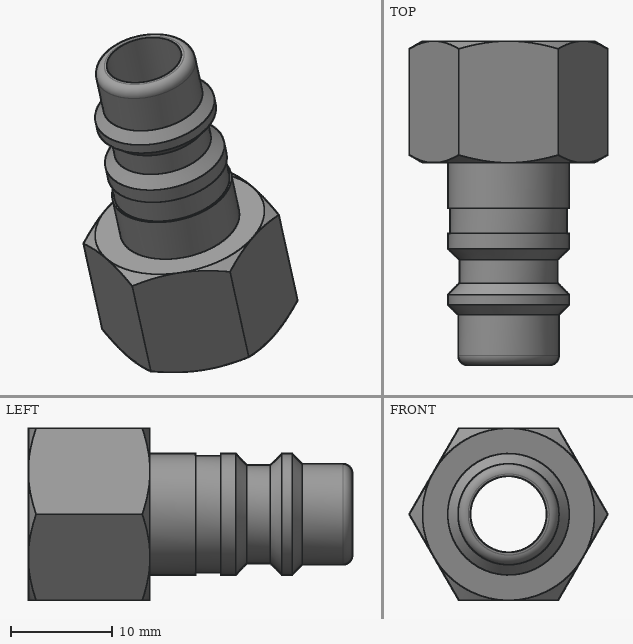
import cadquery as cq
import math

total_length = 32.0
head_length = 12.0
head_sides = 6
across_flats = 17.0
chamfer_angle = 30.0
head_front = total_length - head_length
flat_radius = across_flats / 2
corner_radius = flat_radius / math.cos(math.pi / head_sides)
chamfer_length = (corner_radius - flat_radius) * math.tan(math.radians(chamfer_angle))

bore_radius = 3.75
tip_radius = 5.0
collar_diameter = 12.0
collar_radius = collar_diameter / 2
relief_radius = 5.8
groove_radius = 4.85
tip_rounding = 1.0

bead_start = 5.0
bead_crest_start = 6.0
bead_crest_end = 6.98
groove_start = 8.13
groove_end = 10.43
collar_start = 11.52
relief_start = 13.02
relief_end = 15.5


def make_stem():
    """Revolve the stepped stem, with its rounded tip, about the Y axis."""
    round_center_radius = tip_radius - tip_rounding
    diagonal = tip_rounding * math.sqrt(0.5)
    return (
        cq.Workplane("XY")
        .lineTo(round_center_radius, 0)
        .threePointArc(
            (round_center_radius + diagonal, tip_rounding - diagonal),
            (tip_radius, tip_rounding),
        )
        .lineTo(tip_radius, bead_start)
        .lineTo(collar_radius, bead_crest_start)
        .lineTo(collar_radius, bead_crest_end)
        .lineTo(groove_radius, groove_start)
        .lineTo(groove_radius, groove_end)
        .lineTo(collar_radius, collar_start)
        .lineTo(collar_radius, relief_start)
        .lineTo(relief_radius, relief_start)
        .lineTo(relief_radius, relief_end)
        .lineTo(collar_radius, relief_end)
        .lineTo(collar_radius, head_front)
        .lineTo(0, head_front)
        .close()
        .revolve(360, (0, 0), (0, 1))
    )


def make_head():
    """Hexagonal prism with corners on X, turned conically at both ends."""
    prism = (
        cq.Workplane("XZ", origin=(0, total_length, 0))
        .polygon(head_sides, 2 * corner_radius)
        .extrude(head_length)
    )
    turned_blank = (
        cq.Workplane("XY")
        .moveTo(0, head_front)
        .lineTo(flat_radius, head_front)
        .lineTo(corner_radius, head_front + chamfer_length)
        .lineTo(corner_radius, total_length - chamfer_length)
        .lineTo(flat_radius, total_length)
        .lineTo(0, total_length)
        .close()
        .revolve(360, (0, 0), (0, 1))
    )
    return prism.intersect(turned_blank)


def make_bore():
    """Cylinder that opens the part from end to end."""
    return (
        cq.Workplane("XZ", origin=(0, total_length, 0))
        .circle(bore_radius)
        .extrude(total_length)
    )


result = make_stem().union(make_head()).cut(make_bore())